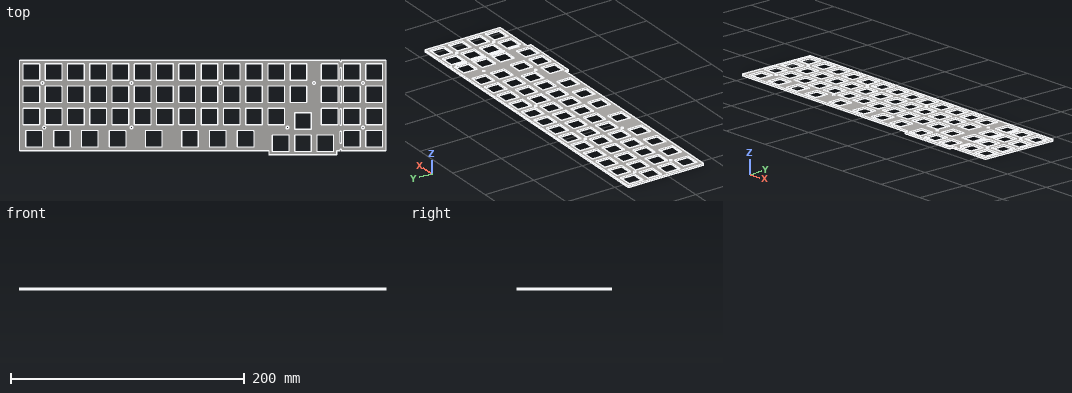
import cadquery as cq

PLATE_LENGTH = 313.75
PLATE_DEPTH = 81.25
MAIN_DEPTH = 77.7
THICKNESS = 1.6
CORNER_RADIUS = 1.0
TAB_CORNER_RADIUS = 0.5
TAB_MARGIN = 3.0

KEY_PITCH = 19.05
OPENING = 14.0
OPENING_RADIUS = 0.3
SIDE_MARGIN = 3.2
TOP_MARGIN = 3.25
ROWS = 4
ROW_LENGTHS = (13, 13, 12)
LEFT_COLUMNS = 13
RIGHT_COLUMNS = 3

BOTTOM_ROW_COLUMNS = (0.125, 1.375, 2.625, 3.875, 5.5, 7.125, 8.375, 9.625)

BLOCK_GAP = PLATE_LENGTH - 2 * SIDE_MARGIN - OPENING - (LEFT_COLUMNS + RIGHT_COLUMNS - 1) * KEY_PITCH
ARROW_SHIFT = BLOCK_GAP / 2

HOLE_DIAMETER = 2.2
HOLE_RAISE = 0.1
CORNER_HOLE_SHIFT = 1.5

SLOT_WIDTH = 1.0
BRIDGE = 5.0
BRIDGE_PITCH = 19.35
FIRST_BRIDGE = 19.8
INNER_BRIDGES = 3
NOTCH_DEPTH = 1.4

LEFT = -PLATE_LENGTH / 2
RIGHT = PLATE_LENGTH / 2
TOP = PLATE_DEPTH / 2
MAIN_BOTTOM = TOP - MAIN_DEPTH
TAB_BOTTOM = TOP - PLATE_DEPTH


def column_x(column):
    """X of an opening centre, counted in key pitches from the first column."""
    return LEFT + SIDE_MARGIN + OPENING / 2 + column * KEY_PITCH


def right_column_x(column):
    """X of an opening centre in the right-hand columns."""
    return column_x(LEFT_COLUMNS + column) + BLOCK_GAP


def row_y(row):
    """Y of an opening centre, counted in key pitches down from the top row."""
    return TOP - TOP_MARGIN - OPENING / 2 - row * KEY_PITCH


ARROW_X = column_x(LEFT_COLUMNS - 1) + ARROW_SHIFT
ARROW_Y = row_y(ROWS - 1) - ARROW_SHIFT


def rounded_block(x_min, x_max, y_min, y_max, radius):
    """Full-thickness block between the given limits with rounded upright edges."""
    block = cq.Workplane("XY").box(x_max - x_min, y_max - y_min, THICKNESS, centered=False)
    return block.translate((x_min, y_min, 0)).edges("|Z").fillet(radius)


def plate():
    """Rectangular plate with the tab below the arrow keys."""
    main = rounded_block(LEFT, RIGHT, MAIN_BOTTOM, TOP, CORNER_RADIUS)
    half_tab = KEY_PITCH + OPENING / 2 + TAB_MARGIN
    tab = rounded_block(ARROW_X - half_tab, ARROW_X + half_tab, TAB_BOTTOM, ARROW_Y, TAB_CORNER_RADIUS)
    return main.union(tab)


def opening_centres():
    """Centres of all the switch openings."""
    centres = []
    for row, length in enumerate(ROW_LENGTHS):
        for column in range(length):
            centres.append((column_x(column), row_y(row)))
    for column in BOTTOM_ROW_COLUMNS:
        centres.append((column_x(column), row_y(ROWS - 1)))

    for row in range(ROWS):
        first_column = 1 if row == ROWS - 1 else 0
        for column in range(first_column, RIGHT_COLUMNS):
            centres.append((right_column_x(column), row_y(row)))

    centres.append((ARROW_X, ARROW_Y + KEY_PITCH))
    for step in (-1, 0, 1):
        centres.append((ARROW_X + step * KEY_PITCH, ARROW_Y))
    return centres


def hole_centres():
    """Centres of the mounting holes, between the first two and the last two rows."""
    upper_y = row_y(0.5) + HOLE_RAISE
    lower_y = row_y(ROWS - 1.5) + HOLE_RAISE
    right_x = right_column_x(1.5)
    upper_x = (column_x(0.5), column_x(4.5), column_x(8.5), column_x(12.5) + ARROW_SHIFT, right_x)
    lower_x = (column_x(0.5) + CORNER_HOLE_SHIFT, column_x(4.5), column_x(11.5), right_x)
    return [(x, upper_y) for x in upper_x] + [(x, lower_y) for x in lower_x]


def break_line():
    """Round-ended slots in a line; the first and last run out through the plate edges."""
    x = right_column_x(0.5)
    top_notch_end = TOP - NOTCH_DEPTH
    bottom_notch_end = MAIN_BOTTOM + NOTCH_DEPTH
    inner_bridges = [TOP - FIRST_BRIDGE - i * BRIDGE_PITCH for i in range(INNER_BRIDGES)]
    slot_tops = [top_notch_end - BRIDGE] + [y - BRIDGE / 2 for y in inner_bridges]
    slot_bottoms = [y + BRIDGE / 2 for y in inner_bridges] + [bottom_notch_end + BRIDGE]

    spans = list(zip(slot_tops, slot_bottoms))
    spans.append((TOP + NOTCH_DEPTH, top_notch_end))
    spans.append((bottom_notch_end, MAIN_BOTTOM - NOTCH_DEPTH))

    slots = cq.Workplane("XY")
    for upper, lower in spans:
        outline = cq.Workplane("XY").center(x, (upper + lower) / 2)
        slots = slots.add(outline.slot2D(upper - lower, SLOT_WIDTH, 90).extrude(THICKNESS))
    return slots.combine()


def switch_openings():
    """Square prisms with slightly rounded corners, one for each switch."""
    prisms = cq.Workplane("XY").pushPoints(opening_centres()).rect(OPENING, OPENING).extrude(THICKNESS)
    return prisms.edges("|Z").fillet(OPENING_RADIUS)


def mounting_holes():
    """Through-hole cylinders."""
    return cq.Workplane("XY").pushPoints(hole_centres()).circle(HOLE_DIAMETER / 2).extrude(THICKNESS)


result = plate().cut(switch_openings()).cut(mounting_holes()).cut(break_line())